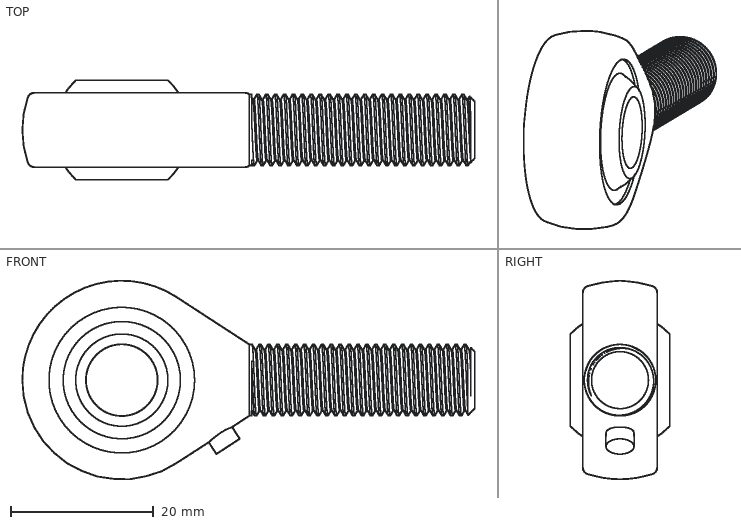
import cadquery as cq
import math

head_radius = 14
head_width = 10.5
head_fillet = 1.0
neck_end = 17.9
shank_end = 49.5
shank_diameter = 10.05
end_chamfer = 1.0

collar_end = 18.2
tip_start = 48.95
groove_start = 17.5
groove_end = 50.05
groove_turns = 26
thread_depth = 0.7
crest_width = 0.25
flank_angle = 30
groove_overshoot = 0.05
trim_length = 6.35

ball_radius = 9.5
ball_width = 14
bore_diameter = 10.05
race_radius = 10.2
race_width = 9.6

nipple_diameter = 3.95
nipple_height = 2.0
nipple_along_flank = 7.4
nipple_root = 1.9

shank_radius = shank_diameter / 2
neck_reach = math.hypot(neck_end, shank_radius)
flank_slope = math.acos(shank_radius / neck_reach) - math.acos(head_radius / neck_reach)
tangent_x = head_radius * math.sin(flank_slope)
tangent_z = head_radius * math.cos(flank_slope)


def make_head():
    """Sphere with its tangent neck cone, cut flat on both sides and rounded there."""
    blank = (
        cq.Workplane("XZ")
        .moveTo(-head_radius, 0)
        .threePointArc((0, head_radius), (tangent_x, tangent_z))
        .lineTo(neck_end, shank_radius)
        .lineTo(neck_end, 0)
        .close()
        .revolve(360, (0, 0, 0), (1, 0, 0))
    )
    slab_size = 2 * neck_reach
    slab = cq.Workplane("XY").box(slab_size, head_width, slab_size)
    return blank.intersect(slab).faces("<Y or >Y").edges().fillet(head_fillet)


def make_groove():
    """Helical V groove, built around Z and then laid along the shank."""
    pitch = (groove_end - groove_start) / groove_turns
    half_mouth = (pitch - crest_width) / 2
    spread = math.tan(math.radians(flank_angle))
    half_root = half_mouth - thread_depth * spread
    half_outer = half_mouth + groove_overshoot * spread
    root_radius = shank_radius - thread_depth
    outer_radius = shank_radius + groove_overshoot
    helix = cq.Wire.makeHelix(pitch, groove_end - groove_start, shank_radius)
    groove = (
        cq.Workplane("XZ")
        .polyline([
            (root_radius, -half_root),
            (outer_radius, -half_outer),
            (outer_radius, half_outer),
            (root_radius, half_root),
        ])
        .close()
        .sweep(cq.Workplane(obj=helix), isFrenet=True)
    )
    along_x = groove.rotate((0, 0, 0), (0, 1, 0), 90)
    from_top = along_x.rotate((0, 0, 0), (1, 0, 0), 180)
    return from_top.translate((groove_start, 0, 0))


def rod(start, end):
    """Plain round rod of the shank diameter between two X places."""
    return cq.Workplane("YZ", origin=(start, 0, 0)).circle(shank_radius).extrude(end - start)


def make_shank():
    """Rod threaded between a plain collar and a plain chamfered tip."""
    collar = rod(neck_end, collar_end)
    envelope = rod(collar_end, shank_end).faces(">X").chamfer(end_chamfer)
    tip = envelope.intersect(rod(tip_start, shank_end))
    overlong = rod(collar_end - trim_length, shank_end + trim_length).cut(make_groove())
    threaded = overlong.intersect(envelope.cut(tip))
    return collar.union(threaded).union(tip)


def make_nipple():
    """Plain stub standing square on the lower flank, in the middle of the head width."""
    outward = cq.Vector(math.sin(flank_slope), 0, -math.cos(flank_slope))
    along = cq.Vector(math.cos(flank_slope), 0, math.sin(flank_slope))
    base = outward * (head_radius - nipple_root) + along * nipple_along_flank
    return cq.Workplane(
        cq.Solid.makeCylinder(nipple_diameter / 2, nipple_root + nipple_height, base, outward)
    )


def make_housing():
    """Head, nipple and shank in one piece, bored through for the race."""
    body = make_head().union(make_nipple()).union(make_shank())
    race_bore = cq.Workplane("XZ").circle(race_radius).extrude(head_width / 2, both=True)
    return body.cut(race_bore)


def make_race():
    """Ring pressed into the head, with a spherical seat for the ball."""
    half_width = race_width / 2
    seat_edge = math.sqrt(ball_radius**2 - half_width**2)
    return (
        cq.Workplane("XY")
        .moveTo(seat_edge, -half_width)
        .lineTo(race_radius, -half_width)
        .lineTo(race_radius, half_width)
        .lineTo(seat_edge, half_width)
        .threePointArc((ball_radius, 0), (seat_edge, -half_width))
        .close()
        .revolve(360, (0, 0, 0), (0, 1, 0))
    )


def make_ball():
    """Bored ball with flat ends."""
    half_width = ball_width / 2
    bore_radius = bore_diameter / 2
    flat_radius = math.sqrt(ball_radius**2 - half_width**2)
    return (
        cq.Workplane("XY")
        .moveTo(bore_radius, -half_width)
        .lineTo(flat_radius, -half_width)
        .threePointArc((ball_radius, 0), (flat_radius, half_width))
        .lineTo(bore_radius, half_width)
        .close()
        .revolve(360, (0, 0, 0), (0, 1, 0))
    )


housing = make_housing()
race = make_race()
ball = make_ball()
result = cq.Compound.makeCompound([housing.val(), race.val(), ball.val()])